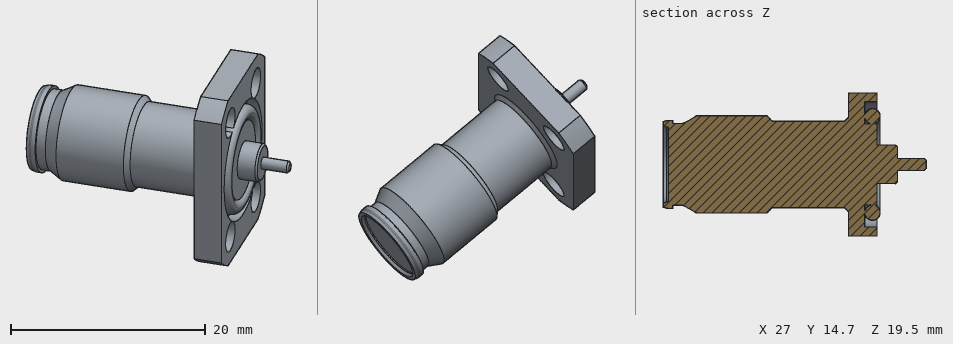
import cadquery as cq


lip_cone_end = 0.35
lip_crown_start = 0.5
lip_end = 1.0
neck_end = 2.0
barrel_start = 3.4
barrel_end = 10.65
shank_start = 11.2
shank_end = 18.6
flange_front = 19.0
flange_rear = 21.95
insulator_end = 24.05
pin_end = 27.0

lip_front_radius = 4.4
lip_cone_radius = 4.5
lip_radius = 4.53
neck_radius = 4.22
barrel_radius = 5.0
shank_radius = 4.45
shank_foot_radius = shank_radius + (flange_front - shank_end)

recess_mouth_radius = 4.0
recess_radius = 3.82
recess_taper_depth = 0.35
recess_depth = 0.5

insulator_radius = 2.0
insulator_chamfer = 0.2
pin_radius = 0.625
pin_chamfer = 0.2

flange_width = 14.7
flange_height = 19.5
flange_corner_radius = 11.0
hole_pitch_y = 8.64
hole_pitch_z = 13.46
hole_diameter = 3.2

seal_cord_radius = 0.8
seal_centre_radius = 4.95
seal_protrusion = 0.32
seal_seat_overlap = 0.02
groove_depth = 2 * seal_cord_radius - seal_protrusion - seal_seat_overlap
groove_outer_radius = 6.42
groove_inner_radius = seal_centre_radius - seal_cord_radius + seal_seat_overlap


def cylinder(start, end, radius):
    """Solid cylinder on the connector axis between two stations."""
    return cq.Workplane("YZ", origin=(start, 0, 0)).circle(radius).extrude(end - start)


def make_body():
    """Turned outer conductor from the mating lip to the flange, with the recess in its end."""
    profile = (
        cq.Workplane("XZ")
        .moveTo(recess_depth, 0)
        .lineTo(recess_depth, recess_radius)
        .lineTo(recess_taper_depth, recess_radius)
        .lineTo(0, recess_mouth_radius)
        .lineTo(0, lip_front_radius)
        .lineTo(lip_cone_end, lip_cone_radius)
        .tangentArcPoint((lip_crown_start, lip_radius), relative=False)
        .lineTo(lip_end, lip_radius)
        .lineTo(lip_end, neck_radius)
        .lineTo(neck_end, neck_radius)
        .lineTo(barrel_start, barrel_radius)
        .lineTo(barrel_end, barrel_radius)
        .lineTo(shank_start, shank_radius)
        .lineTo(shank_end, shank_radius)
        .lineTo(flange_front, shank_foot_radius)
        .lineTo(flange_front, 0)
        .close()
    )
    return profile.revolve(360, (0, 0, 0), (1, 0, 0))


def make_flange():
    """Flange plate with rounded-off corners, four mounting holes and the rear seal groove."""
    thickness = flange_rear - flange_front
    front_plane = cq.Workplane("YZ", origin=(flange_front, 0, 0))
    plate = front_plane.rect(flange_width, flange_height).extrude(thickness)
    plate = plate.intersect(cylinder(flange_front, flange_rear, flange_corner_radius))
    holes = (
        front_plane.rect(hole_pitch_y, hole_pitch_z, forConstruction=True)
        .vertices()
        .circle(hole_diameter / 2)
        .extrude(thickness)
    )
    groove_floor = flange_rear - groove_depth
    groove = cylinder(groove_floor, flange_rear, groove_outer_radius).cut(
        cylinder(groove_floor, flange_rear, groove_inner_radius)
    )
    return plate.cut(holes).cut(groove)


def make_seal():
    """O-ring seated in the groove and standing proud of the rear flange face."""
    cord_centre = flange_rear + seal_protrusion - seal_cord_radius
    return (
        cq.Workplane("XZ")
        .center(cord_centre, seal_centre_radius)
        .circle(seal_cord_radius)
        .revolve(360, (0, -seal_centre_radius, 0), (1, -seal_centre_radius, 0))
    )


def make_contact():
    """Insulator stub and centre pin, each chamfered at its free end."""
    insulator = cylinder(flange_rear, insulator_end, insulator_radius).faces(">X").chamfer(insulator_chamfer)
    pin = cylinder(flange_rear, pin_end, pin_radius).faces(">X").chamfer(pin_chamfer)
    return insulator.union(pin)


result = make_body().union(make_flange()).union(make_seal()).union(make_contact())